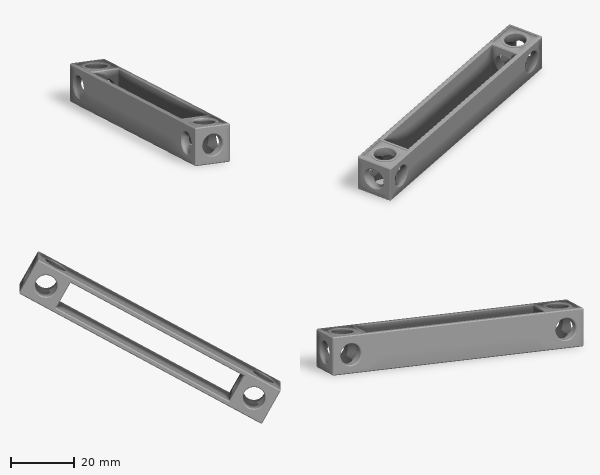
import cadquery as cq

length = 87.5
section = 12.5
edge_chamfer = 0.31

wall = 1.6
hole_diameter = 7.0
hole_chamfer = 0.31

recess_side = 10.3
recess_depth = 0.2
rim_diameter = 9.2

ledge_width = 0.4
ledge_length = 4.7
ledge_height = 0.1

half_section = section / 2
block_center = length / 2 - half_section
window_length = length - 2 * section
window_width = section - 2 * wall


def make_bar():
    return cq.Workplane("XY").box(length, section, section).edges().chamfer(edge_chamfer)


def make_window():
    """Opening between the two end blocks, flared at the top and bottom faces."""
    opening = cq.Workplane("XY").box(window_length, window_width, section)
    for side in (1, -1):
        flare = (
            cq.Workplane("XY", origin=(0, 0, side * half_section))
            .rect(window_length + 2 * edge_chamfer, window_width + 2 * edge_chamfer)
            .workplane(offset=-side * edge_chamfer)
            .rect(window_length, window_width)
            .loft(ruled=True)
        )
        opening = opening.union(flare)
    return opening


def make_hole(start, direction, depth):
    """Round hole entering an outer face, with a chamfered mouth."""
    point = cq.Vector(*start)
    axis = cq.Vector(*direction)
    bore = cq.Solid.makeCylinder(hole_diameter / 2, depth, point, axis)
    mouth_radius = hole_diameter / 2 + hole_chamfer
    mouth = cq.Solid.makeCone(mouth_radius, hole_diameter / 2, hole_chamfer, point, axis)
    return cq.Workplane(obj=bore.fuse(mouth))


def make_recess(center_x):
    """Square recess that leaves the round rim standing."""
    return (
        cq.Workplane("XY", origin=(center_x, 0, half_section - recess_depth))
        .rect(recess_side, recess_side)
        .circle(rim_diameter / 2)
        .extrude(recess_depth)
    )


def make_ledge():
    """Narrow step on the recess floor, running from its -X +Y corner towards the middle."""
    corner_x = -block_center - recess_side / 2
    start_y = recess_side / 2 - ledge_length
    return cq.Workplane("XY", origin=(corner_x, start_y, half_section - recess_depth)).box(
        ledge_width, ledge_length, ledge_height, centered=False
    )


result = make_bar().cut(make_window())
for end in (-1, 1):
    block_x = end * block_center
    result = result.cut(make_recess(block_x))
    result = result.cut(make_hole((end * length / 2, 0, 0), (-end, 0, 0), section))
    for side in (-1, 1):
        result = result.cut(make_hole((block_x, side * half_section, 0), (0, -side, 0), half_section))
        result = result.cut(make_hole((block_x, 0, side * half_section), (0, 0, -side), half_section))
result = result.union(make_ledge())